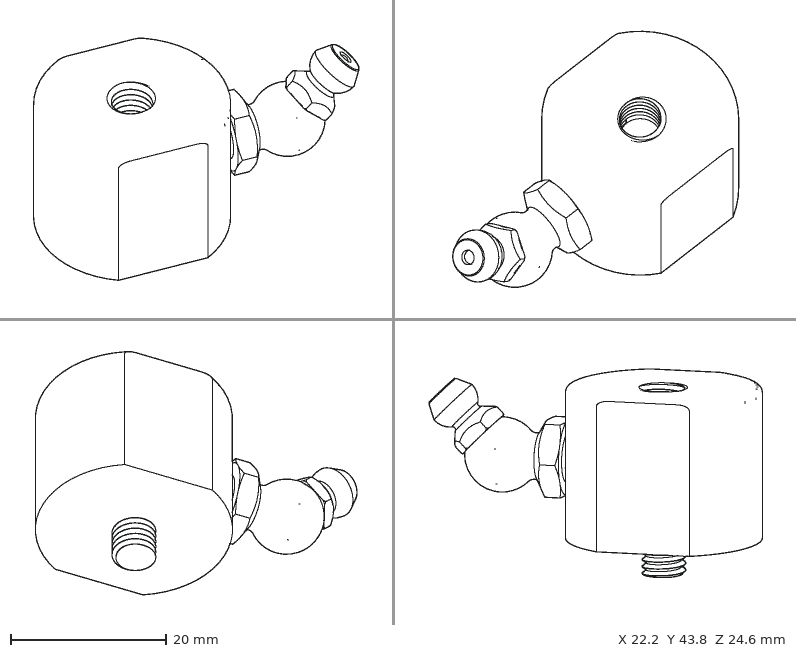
import cadquery as cq
import math

housing_diameter = 25.4
housing_width = 22.2
housing_height = 19.85
top_fillet = 0.75
flat_cutter_size = 2 * housing_diameter

thread_pitch = 0.907
groove_mouth = 0.94 * thread_pitch
stud_diameter = 5.65
stud_length = 4.75
stud_root_radius = 2.3
stud_groove_phase = 0.1
stud_embed = 0.88
hole_diameter = 5.35
hole_depth = 5.7
hole_groove_radius = 3.6
drill_point_angle = 118

elbow_height = housing_height / 2
shank_radius = 6.35 / 2
shank_start = 7.45
elbow_hex_start = 12.8
elbow_hex_flats = 9.6
elbow_hex_corner = elbow_hex_flats / math.sqrt(3)
elbow_hex_base_radius = 4.8
elbow_hex_base_chamfer = 0.3
elbow_hex_side_end = 15.1
neck_start = 16.5
neck_end = 17.93
neck_radius = 3.15
neck_waist_radius = 3.02
ball_center = 21.48
ball_radius = 4.85
dimple_diameter = 1.85
dimple_count = 6

nipple_tilt = 45
seat_distance = 3.55
nipple_hex_flats = 6.8
nipple_hex_corner = nipple_hex_flats / math.sqrt(3)
nipple_hex_base_radius = 3.75
nipple_hex_base_chamfer = 0.2
nipple_hex_side_end = 4.85
groove_start = 6.35
groove_end = 7.05
groove_rim_radius = 2.35
groove_waist_radius = 2.1
head_radius = 3.37
head_widest = 9.25
head_bulge = (3.05, 7.95)
head_end = 11.35
tip_radius = 2.4
tip_chamfer = 0.15
check_ball_radius = 1.9 / 2
bore_clearance = 0.05


def helical_groove(root_radius, mouth_radius, start, height):
    """V-shaped helical cutter, opening from root_radius towards mouth_radius."""
    overshoot = 0.1
    outer_radius = mouth_radius + overshoot * (mouth_radius - root_radius)
    half_mouth = (1 + overshoot) * groove_mouth / 2
    root = cq.Wire.makeHelix(thread_pitch, height, root_radius)
    outer = cq.Wire.makeHelix(thread_pitch, height, outer_radius)
    lower = outer.translate(cq.Vector(0, 0, -half_mouth))
    upper = outer.translate(cq.Vector(0, 0, half_mouth))
    edges = [root, lower, upper]
    faces = [
        cq.Face.makeRuledSurface(first, second)
        for first, second in [(root, lower), (lower, upper), (upper, root)]
    ]
    shell_faces = [face for ruled in faces for face in ruled.Faces()]
    for fraction in (0, 1):
        corners = [edge.positionAt(fraction) for edge in edges]
        shell_faces.append(cq.Face.makeFromWires(cq.Wire.makePolygon(corners, close=True)))
    groove = cq.Solid.makeSolid(cq.Shell.makeShell(shell_faces))
    return cq.Workplane(obj=groove.translate(cq.Vector(0, 0, start)))


def hex_between(flats, start, end):
    corner_diameter = 2 * flats / math.sqrt(3)
    return cq.Workplane("XY").workplane(offset=start).polygon(6, corner_diameter).extrude(end - start)


def tilted_about_ball(body):
    """Lean a body built along +Z over towards +Y and move it to the ball centre."""
    return body.rotate((0, 0, 0), (1, 0, 0), -nipple_tilt).translate((0, ball_center, elbow_height))


def make_stud():
    stud = (
        cq.Workplane("XY")
        .workplane(offset=-stud_length)
        .circle(stud_diameter / 2)
        .extrude(stud_length + stud_embed)
    )
    turns_below = math.ceil(stud_length / thread_pitch) + 1
    groove_bottom = stud_groove_phase - turns_below * thread_pitch
    groove_length = stud_length + stud_embed + 2 * thread_pitch
    return stud.cut(helical_groove(stud_root_radius, stud_diameter / 2, groove_bottom, groove_length))


def make_tapped_hole():
    radius = hole_diameter / 2
    point_depth = radius / math.tan(math.radians(drill_point_angle / 2))
    floor = housing_height - hole_depth
    profile = [(0, floor - point_depth), (radius, floor), (radius, housing_height), (0, housing_height)]
    drill = (
        cq.Workplane("XZ")
        .polyline(profile)
        .close()
        .revolve(360, (0, 0), (0, 1))
    )
    whole_turns = math.floor(hole_depth / thread_pitch) - 1
    groove_bottom = housing_height - (whole_turns + 0.5) * thread_pitch
    groove = helical_groove(hole_groove_radius, radius, groove_bottom, (whole_turns + 2) * thread_pitch)
    return drill, groove


def make_housing():
    block = cq.Workplane("XY").circle(housing_diameter / 2).extrude(housing_height)
    block = block.faces(">Z").edges().fillet(top_fillet)
    block = block.intersect(cq.Workplane("XY").box(housing_width, flat_cutter_size, flat_cutter_size))
    drill, groove = make_tapped_hole()
    side_hole = (
        cq.Workplane("XZ", origin=(0, shank_start, elbow_height))
        .circle(shank_radius)
        .extrude(-housing_diameter)
    )
    return block.cut(groove).cut(drill).cut(side_hole).union(make_stud())


def make_elbow():
    shank = (
        cq.Workplane("XY")
        .workplane(offset=shank_start)
        .circle(shank_radius)
        .extrude(elbow_hex_start - shank_start)
    )
    hexagon = hex_between(elbow_hex_flats, elbow_hex_start, neck_start).intersect(
        cq.Workplane("XZ")
        .moveTo(0, elbow_hex_start)
        .lineTo(elbow_hex_base_radius, elbow_hex_start)
        .lineTo(elbow_hex_corner, elbow_hex_start + elbow_hex_base_chamfer)
        .lineTo(elbow_hex_corner, elbow_hex_side_end)
        .lineTo(neck_radius, neck_start)
        .lineTo(0, neck_start)
        .close()
        .revolve(360, (0, 0), (0, 1))
    )
    ball_rim = math.sqrt(ball_radius**2 - (ball_center - neck_end) ** 2)
    neck_and_ball = (
        cq.Workplane("XZ")
        .moveTo(0, neck_start)
        .lineTo(neck_radius, neck_start)
        .threePointArc((neck_waist_radius, (neck_start + neck_end) / 2), (ball_rim, neck_end))
        .threePointArc((ball_radius, ball_center), (0, ball_center + ball_radius))
        .close()
        .revolve(360, (0, 0), (0, 1))
    )
    elbow = shank.union(hexagon).union(neck_and_ball)
    elbow = elbow.rotate((0, 0, 0), (1, 0, 0), -90).translate((0, 0, elbow_height))
    flat_distance = math.sqrt(ball_radius**2 - (dimple_diameter / 2) ** 2)
    for index in range(dimple_count):
        cutter = cq.Workplane("XY").workplane(offset=flat_distance).circle(dimple_diameter).extrude(ball_radius)
        cutter = cutter.rotate((0, 0, 0), (0, 1, 0), index * 360 / dimple_count)
        elbow = elbow.cut(cutter.translate((0, ball_center, elbow_height)))
    seat = cq.Workplane("XY").workplane(offset=seat_distance).circle(ball_radius).extrude(ball_radius)
    return elbow.cut(tilted_about_ball(seat))


def make_nipple():
    hex_blank = hex_between(nipple_hex_flats, seat_distance, groove_start)
    hexagon = hex_blank.rotate((0, 0, 0), (0, 0, 1), 30).intersect(
        cq.Workplane("XZ")
        .moveTo(0, seat_distance)
        .lineTo(nipple_hex_base_radius, seat_distance)
        .lineTo(nipple_hex_corner, seat_distance + nipple_hex_base_chamfer)
        .lineTo(nipple_hex_corner, nipple_hex_side_end)
        .lineTo(groove_rim_radius, groove_start)
        .lineTo(0, groove_start)
        .close()
        .revolve(360, (0, 0), (0, 1))
    )
    head = (
        cq.Workplane("XZ")
        .moveTo(0, groove_start)
        .lineTo(groove_rim_radius, groove_start)
        .threePointArc(
            (groove_waist_radius, (groove_start + groove_end) / 2), (groove_rim_radius, groove_end)
        )
        .threePointArc(head_bulge, (head_radius, head_widest))
        .lineTo(tip_radius, head_end - tip_chamfer)
        .lineTo(tip_radius - tip_chamfer, head_end)
        .lineTo(0, head_end)
        .close()
        .revolve(360, (0, 0), (0, 1))
    )
    bore_depth = 2 * check_ball_radius + bore_clearance
    bore = (
        cq.Workplane("XY")
        .workplane(offset=head_end - bore_depth)
        .circle(check_ball_radius)
        .extrude(bore_depth)
    )
    return tilted_about_ball(hexagon.union(head).cut(bore))


def make_check_ball():
    ball = cq.Workplane("XY").sphere(check_ball_radius).translate((0, 0, head_end - check_ball_radius))
    return tilted_about_ball(ball)


housing = make_housing()
elbow = make_elbow()
nipple = make_nipple()
check_ball = make_check_ball()
result = cq.Compound.makeCompound(
    [body.solids().val() for body in (housing, elbow, nipple, check_ball)]
)